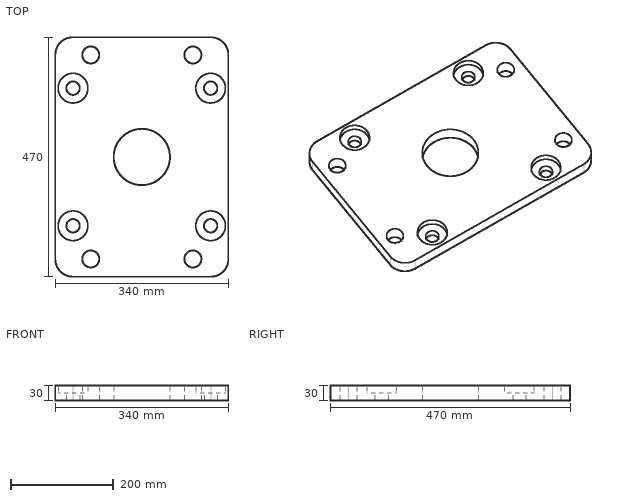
import cadquery as cq

width = 340.0
length = 470.0
thickness = 30.0
corner_radius = 35.0

bore_diameter = 110.0

end_hole_diameter = 33.0
end_hole_spacing_x = 200.0
end_hole_spacing_y = 400.0

bolt_spacing = 270.0
bolt_hole_diameter = 26.0
counterbore_diameter = 58.5
counterbore_depth = 14.0

plate = (
    cq.Workplane("XY")
    .box(width, length, thickness)
    .edges("|Z")
    .fillet(corner_radius)
)

plate = plate.faces(">Z").workplane().hole(bore_diameter)

plate = (
    plate.faces(">Z")
    .workplane()
    .rarray(end_hole_spacing_x, end_hole_spacing_y, 2, 2)
    .hole(end_hole_diameter)
)

result = (
    plate.faces(">Z")
    .workplane()
    .rarray(bolt_spacing, bolt_spacing, 2, 2)
    .cboreHole(bolt_hole_diameter, counterbore_diameter, counterbore_depth)
)